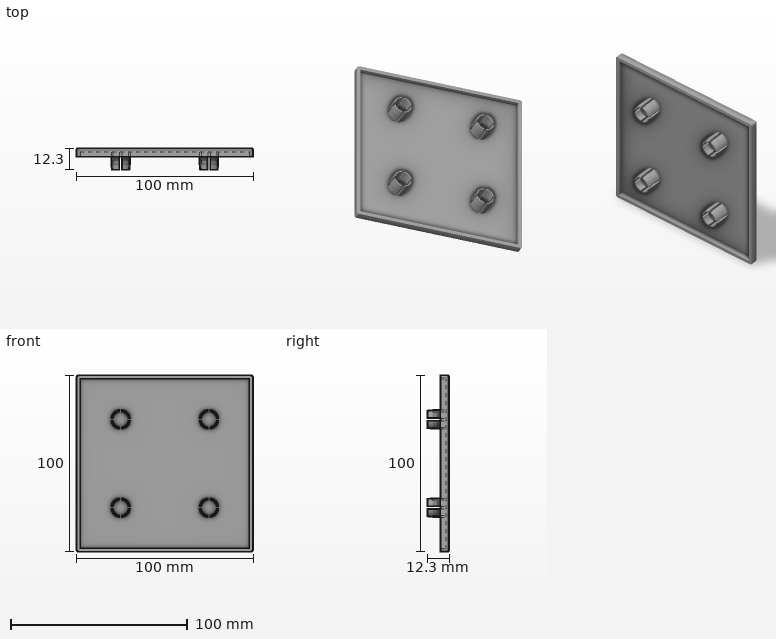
import cadquery as cq

plate_side = 100.0
plate_depth = 5.0
corner_radius = 1.2
back_edge_radius = 1.0
rim_width = 2.1
floor_thickness = 2.0

total_depth = 12.3
pin_pitch = 50.0
pin_diameter = 10.8
pin_tip_diameter = 10.1
pin_bore_diameter = 9.0
pin_taper_length = 3.5
pin_slot_width = 1.5

pin_length = total_depth - floor_thickness
tray_side = plate_side - 2 * rim_width
tray_depth = plate_depth - floor_thickness


def make_plate():
    """Rounded square plate with a shallow tray; back face at Y = 0."""
    plate = cq.Workplane("XZ").rect(plate_side, plate_side).extrude(plate_depth)
    plate = plate.edges("|Y").fillet(corner_radius)
    plate = plate.faces(">Y").fillet(back_edge_radius)
    tray = (
        cq.Workplane("XZ", origin=(0, -floor_thickness, 0))
        .rect(tray_side, tray_side)
        .extrude(tray_depth)
    )
    return plate.cut(tray)


def make_pin():
    """Hollow pin with a tapered tip, split into four fingers by a cross slot."""
    outer_radius = pin_diameter / 2
    tip_radius = pin_tip_diameter / 2
    bore_radius = pin_bore_diameter / 2
    base_y = -floor_thickness
    tip_y = -total_depth
    taper_y = tip_y + pin_taper_length
    tube = (
        cq.Workplane("XY")
        .moveTo(bore_radius, base_y)
        .lineTo(outer_radius, base_y)
        .lineTo(outer_radius, taper_y)
        .lineTo(tip_radius, tip_y)
        .lineTo(bore_radius, tip_y)
        .close()
        .revolve(360, (0, 0, 0), (0, 1, 0))
    )
    for width, height in ((pin_diameter, pin_slot_width), (pin_slot_width, pin_diameter)):
        slot = (
            cq.Workplane("XZ", origin=(0, base_y, 0))
            .rect(width, height)
            .extrude(pin_length)
        )
        tube = tube.cut(slot)
    return tube


result = make_plate()
pin = make_pin()
for x in (-pin_pitch / 2, pin_pitch / 2):
    for z in (-pin_pitch / 2, pin_pitch / 2):
        result = result.union(pin.translate((x, 0, z)))